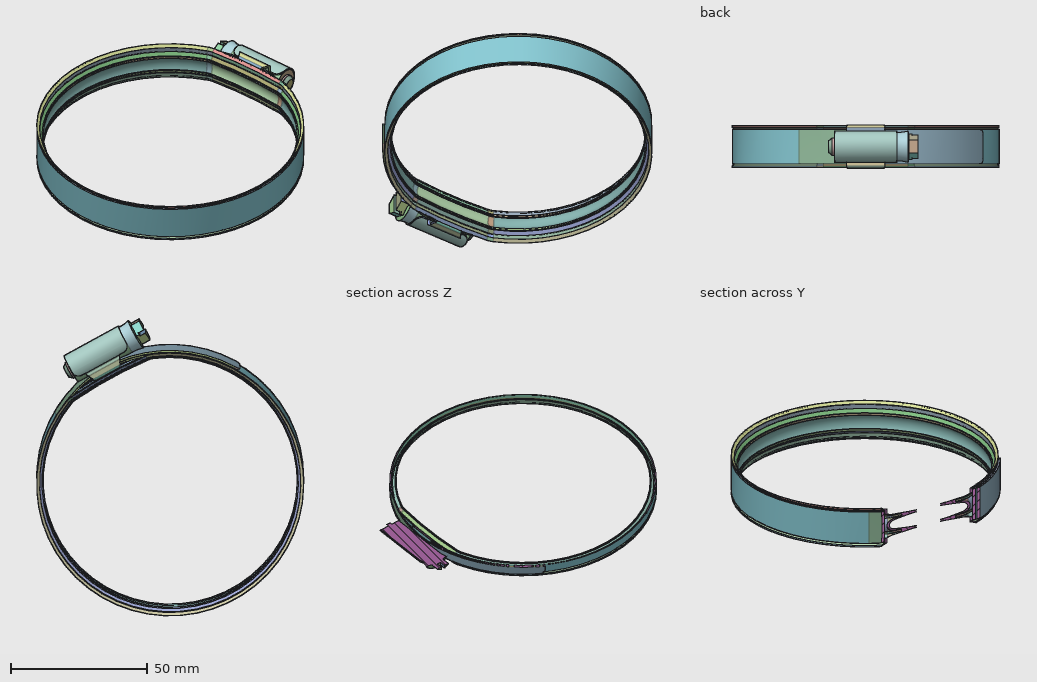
import cadquery as cq
import math

clamp_radius = 49.0
strap_thickness = 0.7
strap_half_width = 6.3
strap_start_angle = 96.3
lift_start_angle = 60.0
lift_end_angle = 95.0
tail_end_angle = 150.0
tail_corner_radius = 2.0
tail_gap = 0.1

liner_sheet = 0.4
lip_half_width = 7.7
lip_edge = 0.7
lip_drop = 1.0
ledge_top = 4.9
ledge_bottom = 3.6
trough_half_width = 2.7
bead_depth = 1.3
trough_depth = 1.0
flat_apex = 47.0
flat_radius = 157.7
flat_corner_radius = 9.2

tube_radius = 5.8
tube_top = 59.7
thread_radius = 5.2
tube_half_length = 11.4
tube_lower_edge = 50.9
tube_corner_radius = 2.8

leg_span = 16.0
leg_sheet = 0.9
saddle_bottom = 47.1
saddle_bend_radius = 1.0
saddle_top_width = 14.1
saddle_bottom_width = 10.4

collar_front = -15.5
collar_waist_radius = 5.3
bevel_front = -16.0
bevel_radius = 4.0
head_front = -19.2
head_across_flats = 8.2
slot_width = 1.3
slot_depth = 2.3
tip_radius = 3.3
tip_shoulder = 12.3
tip_end = 13.6
tip_end_radius = 2.2

axis_height = tube_top - tube_radius
leg_half_span = leg_span / 2
strap_inner_radius = clamp_radius - strap_thickness
tail_inner_radius = clamp_radius + tail_gap
tail_radius = tail_inner_radius + strap_thickness


def polar(radius, angle):
    """Point at a radius and an angle in degrees about the clamp axis."""
    return (radius * math.cos(math.radians(angle)), radius * math.sin(math.radians(angle)))


def tangent(angle):
    """Counter-clockwise direction along a circle about the clamp axis."""
    return polar(1.0, angle + 90)


def make_strap():
    """Flat strap: one turn, a climb over its own start, then the loose tail."""
    middle_angle = (strap_start_angle + lift_start_angle + 360) / 2
    tail_middle = (lift_end_angle + tail_end_angle) / 2
    climb = [tangent(lift_start_angle), tangent(lift_end_angle)]
    descent = [tangent(lift_end_angle + 180), tangent(lift_start_angle + 180)]
    strap = (
        cq.Workplane("XY")
        .workplane(offset=-strap_half_width)
        .moveTo(*polar(clamp_radius, strap_start_angle))
        .threePointArc(polar(clamp_radius, middle_angle), polar(clamp_radius, lift_start_angle))
        .spline([polar(tail_radius, lift_end_angle)], tangents=climb, includeCurrent=True)
        .threePointArc(polar(tail_radius, tail_middle), polar(tail_radius, tail_end_angle))
        .lineTo(*polar(tail_inner_radius, tail_end_angle))
        .threePointArc(polar(tail_inner_radius, tail_middle), polar(tail_inner_radius, lift_end_angle))
        .spline([polar(strap_inner_radius, lift_start_angle)], tangents=descent, includeCurrent=True)
        .threePointArc(polar(strap_inner_radius, middle_angle), polar(strap_inner_radius, strap_start_angle))
        .close()
        .extrude(2 * strap_half_width)
    )
    tail_tip = polar((tail_inner_radius + tail_radius) / 2, tail_end_angle)
    reach = cq.Vector(strap_thickness, strap_thickness, 2 * strap_half_width)
    tip = cq.Vector(*tail_tip, 0)
    near_tip = cq.selectors.BoxSelector((tip - reach).toTuple(), (tip + reach).toTuple())
    across_thickness = cq.selectors.ParallelDirSelector(tip.normalized())
    return strap.edges(near_tip).edges(across_thickness).fillet(tail_corner_radius)


def liner_path():
    """Closed tangent path of the liner's outer edge, round with a flattened top."""
    flat_center = flat_apex - flat_radius
    blend_reach = clamp_radius - flat_corner_radius
    flat_reach = flat_radius - flat_corner_radius
    blend_y = (flat_reach**2 - blend_reach**2 - flat_center**2) / (-2 * flat_center)
    blend_x = math.sqrt(blend_reach**2 - blend_y**2)
    round_angle = math.atan2(blend_x, blend_y)
    flat_angle = math.atan2(blend_x, blend_y - flat_center)
    middle_angle = (round_angle + flat_angle) / 2

    def on_arc(center_x, center_y, radius, angle):
        return (center_x + radius * math.sin(angle), center_y + radius * math.cos(angle))

    round_end = on_arc(0, 0, clamp_radius, round_angle)
    blend_middle = on_arc(blend_x, blend_y, flat_corner_radius, middle_angle)
    flat_end = on_arc(0, flat_center, flat_radius, flat_angle)

    def left(point):
        return (-point[0], point[1])

    return (
        cq.Workplane("XY")
        .moveTo(0, -clamp_radius)
        .threePointArc((clamp_radius, 0), round_end)
        .threePointArc(blend_middle, flat_end)
        .threePointArc((0, flat_apex), left(flat_end))
        .threePointArc(left(blend_middle), left(round_end))
        .threePointArc((-clamp_radius, 0), (0, -clamp_radius))
    )


def make_liner():
    """Roll-formed liner: flared lips, two inward beads and a trough between them."""
    back = strap_inner_radius
    wall = back - liner_sheet
    bead = wall - bead_depth
    lip_inner = lip_half_width - lip_drop
    lip_under = lip_half_width - lip_edge
    notch = lip_under - (clamp_radius - back)
    upper_inside = [
        (clamp_radius, lip_half_width),
        (wall, lip_inner),
        (wall, ledge_top),
        (bead, ledge_bottom),
        (bead, trough_half_width),
    ]
    upper_outside = [
        (bead + liner_sheet, trough_half_width),
        (bead + liner_sheet, ledge_bottom),
        (back, ledge_top),
        (back, notch),
        (clamp_radius, lip_under),
    ]

    def lower(points):
        return [(radius, -height) for radius, height in reversed(points)]

    def placed(points):
        return [(-radius, height) for radius, height in points]

    inside_bottom = placed(lower(upper_inside))
    outside_bottom = placed(lower(upper_outside))
    trough = bead + trough_depth
    profile = (
        cq.Workplane("YZ")
        .polyline(placed(upper_inside))
        .threePointArc((-trough, 0), inside_bottom[0])
    )
    for point in inside_bottom[1:] + outside_bottom:
        profile = profile.lineTo(*point)
    profile = profile.threePointArc((-trough - liner_sheet, 0), placed(upper_outside)[0])
    for point in placed(upper_outside)[1:]:
        profile = profile.lineTo(*point)
    return profile.close().sweep(liner_path())


def tube_cylinder(radius):
    """Cylinder on the screw axis, as long as the housing."""
    return (
        cq.Workplane("YZ")
        .workplane(offset=-tube_half_length)
        .center(axis_height, 0)
        .circle(radius)
        .extrude(2 * tube_half_length)
    )


def make_housing():
    """Open tube over the screw, with a saddle that reaches round the strap."""
    outline = (
        cq.Workplane("XY")
        .center(0, (tube_lower_edge + tube_top) / 2)
        .rect(2 * tube_half_length, tube_top - tube_lower_edge)
        .extrude(tube_radius, both=True)
        .edges("|Z and <Y")
        .fillet(tube_corner_radius)
    )
    tube = tube_cylinder(tube_radius).intersect(outline)

    def saddle_block(bottom, top, half_span, bend):
        return (
            cq.Workplane("YZ")
            .workplane(offset=-saddle_top_width / 2)
            .center((bottom + top) / 2, 0)
            .rect(top - bottom, 2 * half_span)
            .extrude(saddle_top_width)
            .edges("|X")
            .fillet(bend)
        )

    saddle = saddle_block(saddle_bottom, tube_lower_edge, leg_half_span, saddle_bend_radius).cut(
        saddle_block(
            saddle_bottom + leg_sheet,
            tube_lower_edge - leg_sheet,
            leg_half_span - leg_sheet,
            saddle_bend_radius - leg_sheet,
        )
    )
    taper = (
        cq.Workplane("XY")
        .polyline([
            (-saddle_bottom_width / 2, saddle_bottom),
            (saddle_bottom_width / 2, saddle_bottom),
            (saddle_top_width / 2, tube_lower_edge),
            (-saddle_top_width / 2, tube_lower_edge),
        ])
        .close()
        .extrude(leg_half_span, both=True)
    )
    return tube.union(saddle.intersect(taper)).cut(tube_cylinder(thread_radius))


def make_screw(strap):
    """Slotted hexagon screw with a collar, grooved where the strap runs through it."""
    collar_middle = (collar_front - tube_half_length) / 2
    shank = (
        cq.Workplane("XY")
        .moveTo(bevel_front, 0)
        .lineTo(bevel_front, bevel_radius)
        .lineTo(collar_front, tube_radius)
        .threePointArc((collar_middle, collar_waist_radius), (-tube_half_length, thread_radius))
        .lineTo(tube_half_length, thread_radius)
        .lineTo(tube_half_length, tip_radius)
        .lineTo(tip_shoulder, tip_radius)
        .lineTo(tip_end, tip_end_radius)
        .lineTo(tip_end, 0)
        .close()
        .revolve(360, (0, 0, 0), (1, 0, 0))
        .translate((0, axis_height, 0))
    )
    across_corners = head_across_flats / math.cos(math.radians(30))
    head = (
        cq.Workplane("YZ")
        .workplane(offset=head_front)
        .center(axis_height, 0)
        .transformed(rotate=(0, 0, 90))
        .polygon(6, across_corners)
        .extrude(collar_front - head_front)
    )
    slot = cq.Workplane("XY").box(slot_depth, slot_width, across_corners).translate(
        (head_front + slot_depth / 2, axis_height, 0)
    )
    inner_layer_space = cq.Workplane("XY").circle(tail_inner_radius).extrude(strap_half_width, both=True)
    return shank.union(head).cut(slot).cut(strap).cut(inner_layer_space)


strap = make_strap()
liner = make_liner()
housing = make_housing()
screw = make_screw(strap)

result = cq.Compound.makeCompound([body.solids().val() for body in (strap, liner, housing, screw)])